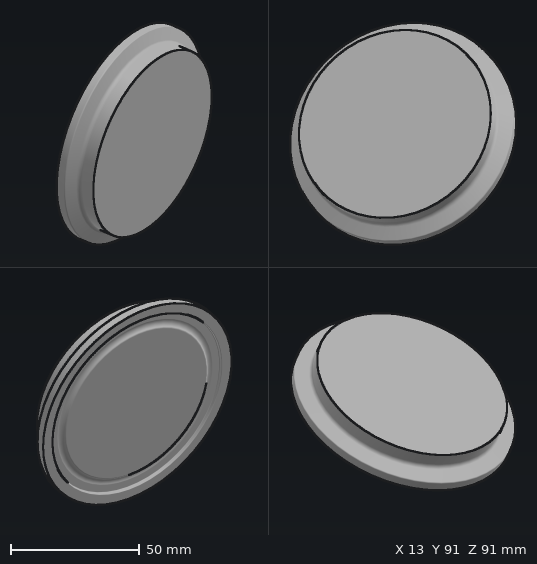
import cadquery as cq
import math

total_length = 13.0
rim_radius = 45.5
rim_corner_x = 4.0
spigot_radius = 78.0 / 2
clamp_angle = 20.0
rim_fillet = 0.61
neck_fillet = 1.9

recess_radius = 81.7 / 2
recess_depth = 1.55
recess_fillet = 0.3

groove_outer_radius = 37.5
groove_round = 2.55
lip_fillet = 0.9
disc_fillet = 0.8
outer_slope = 20.0
inner_slope = 50.0

neck_corner_x = rim_corner_x + (rim_radius - spigot_radius) * math.tan(math.radians(clamp_angle))


def tangent_fillet(first, corner, last, radius):
    """Return start, middle and end of a fillet arc at a profile corner."""
    first_dir = (cq.Vector(*first) - cq.Vector(*corner)).normalized()
    last_dir = (cq.Vector(*last) - cq.Vector(*corner)).normalized()
    half_angle = first_dir.getAngle(last_dir) / 2
    reach = radius / math.tan(half_angle)
    to_middle = radius / math.sin(half_angle) - radius
    bisector = (first_dir + last_dir).normalized()
    corner = cq.Vector(*corner)
    points = (corner + first_dir * reach, corner + bisector * to_middle, corner + last_dir * reach)
    return [(point.x, point.y) for point in points]


def point_on_circle(center, radius, slope):
    """Return the point of a circle where its tangent has the given slope to the flange plane."""
    angle = math.radians(slope)
    return (center[0] + radius * math.cos(angle), center[1] + radius * math.sin(angle))


rim_front = (0, rim_radius)
rim_corner = (rim_corner_x, rim_radius)
neck_corner = (neck_corner_x, spigot_radius)
spigot_end = (total_length, spigot_radius)
rim_start, rim_mid, rim_end = tangent_fillet(rim_front, rim_corner, neck_corner, rim_fillet)
neck_start, neck_mid, neck_end = tangent_fillet(rim_corner, neck_corner, spigot_end, neck_fillet)

lip_center = (recess_depth + lip_fillet, groove_outer_radius)
groove_center = point_on_circle(lip_center, -(lip_fillet + groove_round), outer_slope)
disc_center = point_on_circle(groove_center, groove_round + disc_fillet, -inner_slope)

lip_mid = point_on_circle(lip_center, -lip_fillet, outer_slope / 2)
lip_end = point_on_circle(lip_center, -lip_fillet, outer_slope)
groove_mid = point_on_circle(groove_center, groove_round, (outer_slope - inner_slope) / 2)
groove_end = point_on_circle(groove_center, groove_round, -inner_slope)
disc_mid = point_on_circle(disc_center, -disc_fillet, -inner_slope / 2)
disc_edge = point_on_circle(disc_center, -disc_fillet, 0)

lip_start = (recess_depth, groove_outer_radius)
recess_mouth = (0, recess_radius)
recess_corner = (recess_depth, recess_radius)
floor_start, floor_mid, floor_end = tangent_fillet(lip_start, recess_corner, recess_mouth, recess_fillet)
mouth_start, mouth_mid, mouth_end = tangent_fillet(recess_corner, recess_mouth, rim_front, recess_fillet)

profile = (
    cq.Workplane("XY")
    .moveTo(disc_edge[0], 0)
    .lineTo(*disc_edge)
    .threePointArc(disc_mid, groove_end)
    .threePointArc(groove_mid, lip_end)
    .threePointArc(lip_mid, lip_start)
    .lineTo(*floor_start)
    .threePointArc(floor_mid, floor_end)
    .lineTo(*mouth_start)
    .threePointArc(mouth_mid, mouth_end)
    .lineTo(*rim_front)
    .lineTo(*rim_start)
    .threePointArc(rim_mid, rim_end)
    .lineTo(*neck_start)
    .threePointArc(neck_mid, neck_end)
    .lineTo(*spigot_end)
    .lineTo(total_length, 0)
    .close()
)

result = profile.revolve(360, (0, 0, 0), (1, 0, 0))